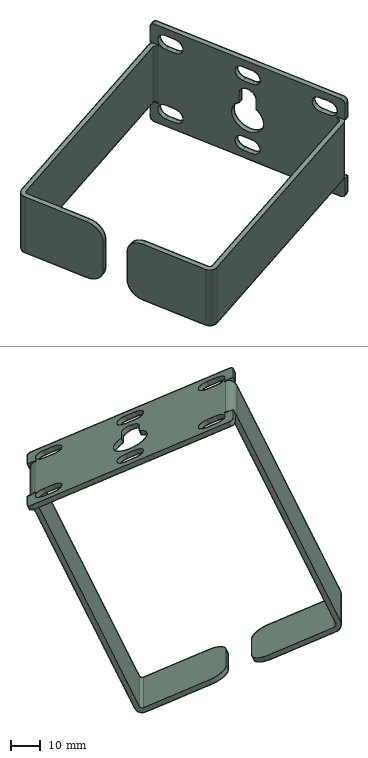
import cadquery as cq

width = 76.2
depth = 88.9
height = 44.45

thickness = 1.8
bend_outer_radius = 2.85
bend_inner_radius = bend_outer_radius - thickness
strap_height = 25.4
lip_gap = 9.3
lip_corner_radius = 6.3

plate_corner_radius = 1.8
relief_height = 0.6
relief_depth = 3.2
slot_length = 9.8
slot_height = 6.2
slot_pitch_x = 30.1
slot_offset_z = 15.8

keyhole_neck_width = 6.6
keyhole_neck_z = 6.3
keyhole_head_radius = 6.2
keyhole_head_z = -3.4

back_y = depth / 2
front_y = -depth / 2


def back_cutter(sketch_points=((0, 0),)):
    """Workplane on the back face whose extrusions run toward -Y into the plate."""
    return cq.Workplane("XZ", origin=(0, back_y, 0)).pushPoints(list(sketch_points))


def make_strap():
    """Rectangular loop with rounded bends, open between the two front lips."""
    outer = cq.Workplane("XY").box(width, depth, strap_height)
    outer = outer.edges("|Z").fillet(bend_outer_radius)
    inner = cq.Workplane("XY").box(width - 2 * thickness, depth - 2 * thickness, strap_height)
    inner = inner.edges("|Z").fillet(bend_inner_radius)
    gap = cq.Workplane("XY").box(lip_gap, 2 * thickness, strap_height).translate((0, front_y, 0))
    loop = outer.cut(inner).cut(gap)
    lip_corners = cq.selectors.BoxSelector(
        (-lip_gap, front_y - thickness, -strap_height),
        (lip_gap, front_y + 2 * thickness, strap_height),
    )
    return loop.edges("|Y").edges(lip_corners).fillet(lip_corner_radius)


def make_plate():
    """Back plate cut away at both ends where the strap bends and its reliefs sit."""
    plate = back_cutter().rect(width, height).extrude(thickness)
    plate = plate.edges("|Y").fillet(plate_corner_radius)
    notch_height = strap_height + 2 * relief_height
    side_centers = [(-width / 2, 0), (width / 2, 0)]
    notches = back_cutter(side_centers).rect(2 * relief_depth, notch_height).extrude(thickness)
    return plate.cut(notches)


def make_slots():
    """Two rows of three mounting slots."""
    centers = [(x, z) for x in (-slot_pitch_x, 0, slot_pitch_x) for z in (-slot_offset_z, slot_offset_z)]
    return back_cutter(centers).slot2D(slot_length, slot_height).extrude(thickness)


def make_keyhole():
    """Round head with a narrower round-ended neck above it."""
    neck_length = keyhole_neck_z - keyhole_head_z
    neck_center = [(0, (keyhole_neck_z + keyhole_head_z) / 2)]
    head = back_cutter([(0, keyhole_head_z)]).circle(keyhole_head_radius).extrude(thickness)
    neck = back_cutter(neck_center).rect(keyhole_neck_width, neck_length).extrude(thickness)
    tip = back_cutter([(0, keyhole_neck_z)]).circle(keyhole_neck_width / 2).extrude(thickness)
    return head.union(neck).union(tip)


result = make_strap().union(make_plate()).cut(make_slots()).cut(make_keyhole())